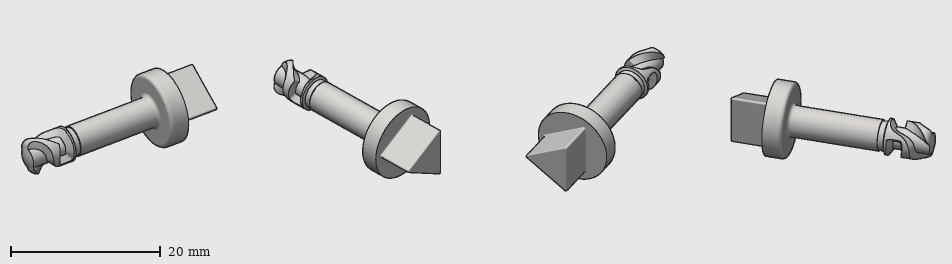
import cadquery as cq
import math

length = 27.68

flange_diameter = 10.5
flange_radius = flange_diameter / 2
flange_back = 22.5
flange_front = 19.8
flange_rounding = 0.5
shank_radius = 2.15
shank_fillet = 0.5
shank_end = 7.4

neck_radius = 2.0
neck_start = 7.22
neck_flare_radius = 2.1
neck_flare = 6.55
tip_radius = 2.5
tip_start = 6.4
core_radius = 1.5
dome_height = 0.28
nose_rounding = tip_radius - core_radius

handle_flat_x = -2.02
handle_corner_radius = 0.22
handle_corner_spacing = 6.75
handle_end_rounding = 0.17
handle_root_fillet = 0.17
seam_margin = 0.03

flute_count = 2
cutter_overrun = 0.28
cutter_inner_radius = core_radius - cutter_overrun
cutter_outer_radius = tip_radius + cutter_overrun
cutter_crown_steps = 6

flute_stations = [
    ((118, 4.43), (118, 5.48), (104, 4.6), (104, 5.12)),
    ((115, 4.05), (115, 5.9), (101, 4.35), (101, 5.31)),
    ((106, 3.88), (106, 6.05), (95, 4.24), (95, 5.37)),
    ((80, 3.88), (80, 6.05), (80, 4.24), (80, 5.37)),
    ((47, 4.15), (35, 6.05), (40, 4.24), (35, 5.37)),
    ((38, 4.15), (10, 6.05), (24, 4.24), (16, 5.37)),
    ((30, 3.82), (-14, 5.87), (8, 3.88), (-1, 5.25)),
    ((15, 3.18), (-33, 5.07), (-10, 3.32), (-17, 4.6)),
    ((0, 2.55), (-50, 3.75), (-24, 2.65), (-38, 3.38)),
    ((-14, 1.95), (-80, 2.9), (-38, 1.95), (-67, 2.52)),
    ((-29, 1.33), (-115, 2.77), (-49, 1.33), (-100, 2.27)),
    ((-44, 0.83), (-147, 2.35), (-58, 0.83), (-134, 1.95)),
    ((-58, 0.28), (-174, 1.38), (-66, 0.4), (-162, 1.15)),
    ((-66, -0.28), (-184, -0.28), (-74, -0.28), (-180, -0.28)),
]


def make_turned_body():
    """Revolve the flange, shank, neck and rounded nose about the Y axis."""
    diagonal = math.sqrt(0.5)
    flange_corner = flange_radius - flange_rounding
    flange_centre_y = flange_front + flange_rounding
    fillet_centre_x = shank_radius + shank_fillet
    fillet_centre_y = flange_front - shank_fillet
    nose_centre_y = dome_height + nose_rounding
    dome_sphere_radius = (core_radius**2 + dome_height**2) / (2 * dome_height)
    dome_mid_x = core_radius / 2
    dome_mid_y = dome_sphere_radius - math.sqrt(dome_sphere_radius**2 - dome_mid_x**2)
    return (
        cq.Workplane("XY")
        .moveTo(0, flange_back)
        .lineTo(flange_radius, flange_back)
        .lineTo(flange_radius, flange_centre_y)
        .threePointArc(
            (flange_corner + flange_rounding * diagonal, flange_centre_y - flange_rounding * diagonal),
            (flange_corner, flange_front),
        )
        .lineTo(fillet_centre_x, flange_front)
        .threePointArc(
            (fillet_centre_x - shank_fillet * diagonal, fillet_centre_y + shank_fillet * diagonal),
            (shank_radius, fillet_centre_y),
        )
        .lineTo(shank_radius, shank_end)
        .lineTo(neck_radius, shank_end)
        .lineTo(neck_radius, neck_start)
        .lineTo(neck_flare_radius, neck_flare)
        .lineTo(tip_radius, tip_start)
        .lineTo(tip_radius, nose_centre_y)
        .threePointArc(
            (core_radius + nose_rounding * diagonal, nose_centre_y - nose_rounding * diagonal),
            (core_radius, dome_height),
        )
        .threePointArc((dome_mid_x, dome_mid_y), (0, 0))
        .close()
        .revolve(360, (0, 0, 0), (0, 1, 0))
    )


def make_handle():
    """Equilateral prism with rounded corners and a flat facing -X."""
    corner_x = handle_flat_x + handle_corner_radius
    apex_x = corner_x + handle_corner_spacing * math.sqrt(3) / 2
    half_spacing = handle_corner_spacing / 2
    return (
        cq.Workplane("XZ", origin=(0, length, 0))
        .polyline([(corner_x, -half_spacing), (apex_x, 0), (corner_x, half_spacing)])
        .close()
        .offset2D(handle_corner_radius)
        .extrude(length - flange_back)
        .faces(">Y")
        .edges()
        .fillet(handle_end_rounding)
    )


def between(start, end, fraction):
    """Blend two (angle, Y) pairs; fractions outside 0 to 1 extrapolate."""
    return tuple(a + (b - a) * fraction for a, b in zip(start, end))


def on_cylinder(radius, angle_and_y):
    angle, y = angle_and_y
    turn = math.radians(angle)
    return cq.Vector(radius * math.sin(turn), y, radius * math.cos(turn))


def flute_section(lower_outer, upper_outer, lower_core, upper_core):
    """Closed outline across a flute, its sloping walls extended both ways."""
    depth = tip_radius - core_radius
    inward = (cutter_inner_radius - core_radius) / depth
    outward = (cutter_outer_radius - core_radius) / depth
    lower_crown = between(lower_core, lower_outer, outward)
    upper_crown = between(upper_core, upper_outer, outward)
    points = [
        on_cylinder(cutter_inner_radius, between(upper_core, upper_outer, inward)),
        on_cylinder(cutter_inner_radius, between(lower_core, lower_outer, inward)),
    ]
    for step in range(cutter_crown_steps + 1):
        place = between(lower_crown, upper_crown, step / cutter_crown_steps)
        points.append(on_cylinder(cutter_outer_radius, place))
    return points


def make_flute_cutter():
    """Join the sections by smooth rails with ruled walls between neighbours."""
    sections = [flute_section(*station) for station in flute_stations]
    rail_places = list(range(len(sections)))
    rails = [cq.Edge.makeSpline(list(points), parameters=rail_places) for points in zip(*sections)]
    walls = [cq.Face.makeRuledSurface(rails[index - 1], rails[index]) for index in range(len(rails))]
    caps = [
        cq.Face.makeFromWires(cq.Wire.makePolygon(points, close=True))
        for points in (sections[0], sections[-1])
    ]
    return cq.Solid.makeSolid(cq.Shell.makeShell(walls + caps)).fix()


def cut_flutes(body):
    """Cut the spiral flutes, leaving the round core untouched."""
    core_cylinder = cq.Workplane("XZ").circle(core_radius).extrude(-flange_front)
    core = body.intersect(core_cylinder)
    cutter = make_flute_cutter()
    for index in range(flute_count):
        turn = index * 360 / flute_count
        turned_cutter = cutter.rotate(cq.Vector(0, 0, 0), cq.Vector(0, 1, 0), turn)
        body = body.cut(cq.Workplane(turned_cutter))
    return body.union(core)


def join_handle(body):
    """Add the handle and fillet the seam where it meets the flange."""
    joined = body.union(make_handle())
    near_back = cq.selectors.BoxSelector(
        (-flange_radius, flange_back - seam_margin, -flange_radius),
        (flange_radius, flange_back + seam_margin, flange_radius),
    )
    seam = joined.edges(near_back).filter(lambda edge: edge.BoundingBox().xmax < flange_radius - seam_margin)
    return seam.fillet(handle_root_fillet)


result = join_handle(cut_flutes(make_turned_body()))